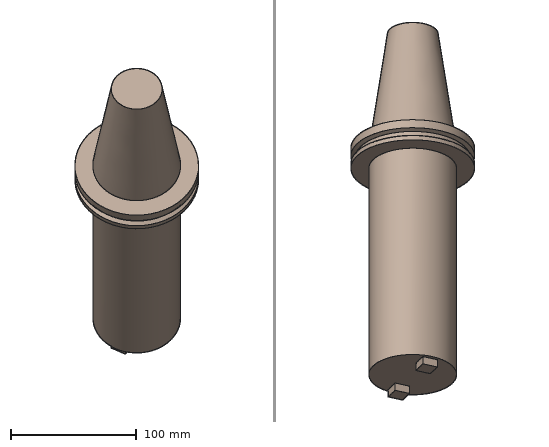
import cadquery as cq

total_height = 311.2

body_diameter = 69.7
body_bottom = 6.5

flange_diameter = 98.3
flange_bottom = 191.0
flange_top = 209.0
groove_lower_edge = 195.0
groove_upper_edge = 202.0
groove_depth = 3.5
groove_wall_height = 1.5

collar_height = 1.2
taper_small_diameter = 40.5

key_width = 12.8
key_outer_reach = 31.7

body_radius = body_diameter / 2
flange_radius = flange_diameter / 2
groove_radius = flange_radius - groove_depth


def make_revolved_holder():
    """Body, grooved flange, collar and taper as one profile turned about Z."""
    profile = [
        (0, body_bottom),
        (body_radius, body_bottom),
        (body_radius, flange_bottom),
        (flange_radius, flange_bottom),
        (flange_radius, groove_lower_edge),
        (groove_radius, groove_lower_edge + groove_wall_height),
        (groove_radius, groove_upper_edge - groove_wall_height),
        (flange_radius, groove_upper_edge),
        (flange_radius, flange_top),
        (body_radius, flange_top),
        (body_radius, flange_top + collar_height),
        (taper_small_diameter / 2, total_height),
        (0, total_height),
    ]
    return cq.Workplane("XZ").polyline(profile).close().revolve(360, (0, 0, 0), (0, 1, 0))


def make_drive_keys():
    """Two opposite keys on the Y axis, standing from Z = 0 up to the body."""
    key_offset = key_outer_reach - key_width / 2
    return (
        cq.Workplane("XY")
        .pushPoints([(0, key_offset), (0, -key_offset)])
        .rect(key_width, key_width)
        .extrude(body_bottom)
    )


result = make_revolved_holder().union(make_drive_keys())